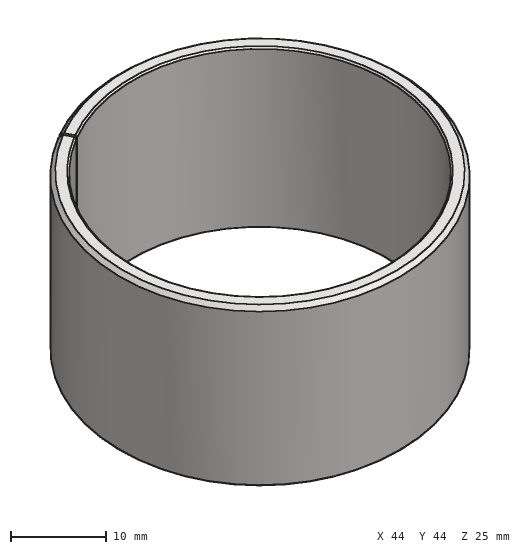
import cadquery as cq

outer_diameter = 44.0
wall_thickness = 2.0
height = 25.0
outer_chamfer = 0.55
inner_chamfer = 0.2
slit_width = 0.3

outer_radius = outer_diameter / 2
inner_radius = outer_radius - wall_thickness


def bushing_ring():
    """Revolve the wall section, chamfered at both rims, with its seam at the slit."""
    section = [
        (inner_radius + inner_chamfer, 0),
        (outer_radius - outer_chamfer, 0),
        (outer_radius, outer_chamfer),
        (outer_radius, height - outer_chamfer),
        (outer_radius - outer_chamfer, height),
        (inner_radius + inner_chamfer, height),
        (inner_radius, height - inner_chamfer),
        (inner_radius, inner_chamfer),
    ]
    return cq.Workplane("XZ").polyline(section).close().revolve(360, (0, 0), (0, 1)).rotate(
        (0, 0, 0), (0, 0, 1), 180
    )


def slit():
    """Full-height cutter through the -X wall, with one face on the XZ plane."""
    return cq.Workplane("XY").box(
        outer_radius, slit_width, height, centered=False
    ).translate((-outer_radius, 0, 0))


result = bushing_ring().cut(slit())